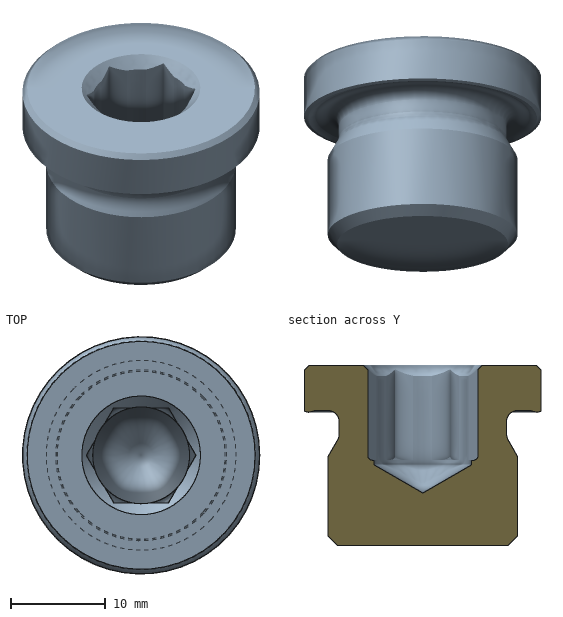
import cadquery as cq
import math

total_height = 19.0
sealing_edge_z = 14.0
shank_top_z = 9.4

head_diameter = 25.0
head_chamfer = 0.5

sealing_edge_diameter = 24.1
sealing_edge_slope = 15.0
recess_depth = 0.2

shank_diameter = 20.0
shank_chamfer = 1.0
neck_diameter = 17.7
neck_fillet = 1.15
relief_angle = 30.0

hex_across_flats = 10.0
hex_depth = 10.0
socket_envelope_diameter = 11.6
socket_floor_fillet = 0.5
pilot_diameter = 10.2
pilot_depth = 10.5
drill_point_angle = 120.0
countersink_diameter = 12.5
countersink_angle = 90.0


def cone_height(diameter, included_angle):
    """Height of a full cone with the given base diameter and point angle."""
    return diameter / 2 / math.tan(math.radians(included_angle / 2))


def edge_circle(radius, z):
    """Selector for the circular edge of the given radius at height z."""
    margin = 0.02
    reach = radius + margin
    return cq.selectors.BoxSelector(
        (-reach, -reach, z - margin), (reach, reach, z + margin), boundingbox=True
    )


def make_body():
    """Turned body: chamfered shank, filleted relief neck and head with a sealing edge."""
    head_radius = head_diameter / 2
    shank_radius = shank_diameter / 2
    neck_radius = neck_diameter / 2
    sealing_radius = sealing_edge_diameter / 2

    relief_height = (shank_radius - neck_radius) / math.tan(math.radians(relief_angle))
    neck_bottom_z = shank_top_z + relief_height
    recess_z = sealing_edge_z + recess_depth
    slope = math.tan(math.radians(sealing_edge_slope))
    recess_radius = sealing_radius - recess_depth / slope
    rim_z = sealing_edge_z + (head_radius - sealing_radius) * slope

    body = (
        cq.Workplane("XZ")
        .lineTo(shank_radius - shank_chamfer, 0)
        .lineTo(shank_radius, shank_chamfer)
        .lineTo(shank_radius, shank_top_z)
        .lineTo(neck_radius, neck_bottom_z)
        .lineTo(neck_radius, recess_z)
        .lineTo(recess_radius, recess_z)
        .lineTo(sealing_radius, sealing_edge_z)
        .lineTo(head_radius, rim_z)
        .lineTo(head_radius, total_height - head_chamfer)
        .lineTo(head_radius - head_chamfer, total_height)
        .lineTo(0, total_height)
        .close()
        .revolve(360, (0, 0, 0), (0, 1, 0))
    )
    body = body.edges(edge_circle(neck_radius, neck_bottom_z)).fillet(neck_fillet)
    return body.edges(edge_circle(neck_radius, recess_z)).fillet(neck_fillet)


def make_hex_cutter():
    """Hexagon with corners on the X axis and a rounded rim at the socket floor."""
    floor_z = total_height - hex_depth
    across_corners = hex_across_flats / math.cos(math.radians(30))
    hexagon = cq.Workplane().workplane(offset=floor_z).polygon(6, across_corners).extrude(hex_depth)
    envelope = (
        cq.Workplane()
        .workplane(offset=floor_z)
        .circle(socket_envelope_diameter / 2)
        .extrude(hex_depth)
        .faces("<Z")
        .edges()
        .fillet(socket_floor_fillet)
    )
    return hexagon.intersect(envelope)


def make_pilot_cutter():
    """Drilled hole with a conical point."""
    pilot_radius = pilot_diameter / 2
    wall_bottom_z = total_height - pilot_depth
    tip_z = wall_bottom_z - cone_height(pilot_diameter, drill_point_angle)
    return (
        cq.Workplane("XZ")
        .moveTo(0, tip_z)
        .lineTo(pilot_radius, wall_bottom_z)
        .lineTo(pilot_radius, total_height)
        .lineTo(0, total_height)
        .close()
        .revolve(360, (0, 0, 0), (0, 1, 0))
    )


def make_countersink_cutter():
    """Conical lead-in at the mouth of the socket."""
    tip_z = total_height - cone_height(countersink_diameter, countersink_angle)
    return (
        cq.Workplane("XZ")
        .moveTo(0, tip_z)
        .lineTo(countersink_diameter / 2, total_height)
        .lineTo(0, total_height)
        .close()
        .revolve(360, (0, 0, 0), (0, 1, 0))
    )


result = (
    make_body()
    .cut(make_hex_cutter())
    .cut(make_pilot_cutter())
    .cut(make_countersink_cutter())
)